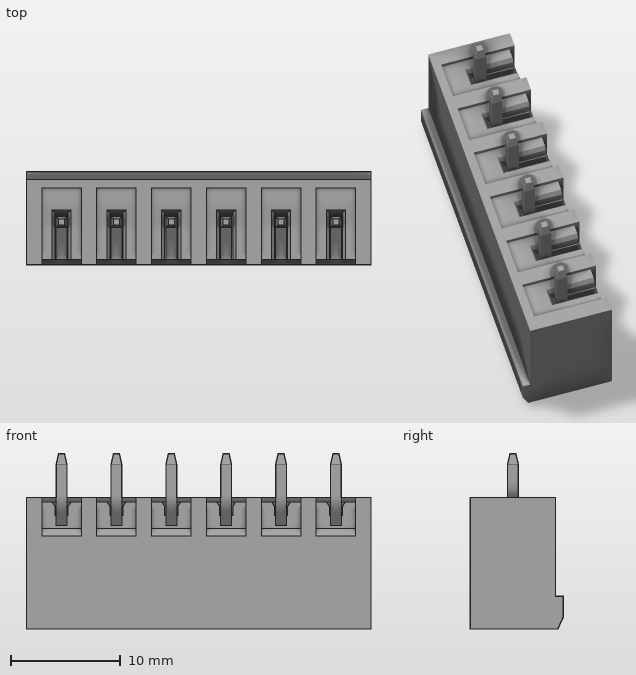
import cadquery as cq

pin_count = 6
pitch = 5.0
end_margin = 3.2
housing_length = (pin_count - 1) * pitch + 2 * end_margin
housing_depth = 7.8
housing_height = 12.0

rail_projection = 0.7
rail_height = 3.0
rail_lead_in_depth = 0.5
rail_lead_in_height = 1.1

pocket_width = 3.6
pocket_length = 7.0
pocket_depth = 0.4
pocket_floor_z = housing_height - pocket_depth
recess_depth = 0.5
recess_inner_z = 9.15
recess_outer_z = 8.5

pin_width = 1.0
pin_y = 3.9
pin_top_z = 16.0
pin_taper_length = 1.0
pin_tip_width = 0.55

slit_floor_z = 9.45
slit_ledge_z = 10.35
slit_mouth_width = 1.75
slit_neck_width = 1.2
slit_chamfer_depth = 0.4
slit_mouth_back_y = 5.0
slit_neck_back_y = 4.5
slit_back_slope_depth = 1.0
pin_back_y = pin_y + pin_width / 2


def make_housing():
    """Block with the latch rail along its lower rear edge."""
    rail_back_y = housing_depth + rail_projection
    return (
        cq.Workplane("YZ")
        .moveTo(0, 0)
        .lineTo(rail_back_y - rail_lead_in_depth, 0)
        .lineTo(rail_back_y, rail_lead_in_height)
        .lineTo(rail_back_y, rail_height)
        .lineTo(housing_depth, rail_height)
        .lineTo(housing_depth, housing_height)
        .lineTo(0, housing_height)
        .close()
        .extrude(housing_length / 2, both=True)
    )


def make_pocket(x):
    """Pocket with the front recess and its sloping sill, centred on x."""
    return (
        cq.Workplane("YZ", origin=(x, 0, 0))
        .moveTo(0, recess_outer_z)
        .lineTo(recess_depth, recess_inner_z)
        .lineTo(recess_depth, pocket_floor_z)
        .lineTo(pocket_length, pocket_floor_z)
        .lineTo(pocket_length, housing_height)
        .lineTo(0, housing_height)
        .close()
        .extrude(pocket_width / 2, both=True)
    )


def make_slit_upper(x):
    """Upper part of the slit: chamfered along both sides, sloping at the back, open at the front."""
    neck_z = pocket_floor_z - slit_chamfer_depth
    cross_profile = (
        cq.Workplane("XZ", origin=(x, 0, 0))
        .moveTo(-slit_neck_width / 2, slit_ledge_z)
        .lineTo(-slit_neck_width / 2, neck_z)
        .lineTo(-slit_mouth_width / 2, pocket_floor_z)
        .lineTo(slit_mouth_width / 2, pocket_floor_z)
        .lineTo(slit_neck_width / 2, neck_z)
        .lineTo(slit_neck_width / 2, slit_ledge_z)
        .close()
        .extrude(-slit_mouth_back_y)
    )
    side_profile = (
        cq.Workplane("YZ", origin=(x, 0, 0))
        .moveTo(0, slit_ledge_z)
        .lineTo(0, pocket_floor_z)
        .lineTo(slit_mouth_back_y, pocket_floor_z)
        .lineTo(slit_neck_back_y, pocket_floor_z - slit_back_slope_depth)
        .lineTo(slit_neck_back_y, slit_ledge_z)
        .close()
        .extrude(slit_mouth_width / 2, both=True)
    )
    return cross_profile.intersect(side_profile)


def make_slit_channel(x):
    """Channel below the ledge, running from the front recess to the back of the pin."""
    channel_length = pin_back_y - recess_depth
    channel_y = (pin_back_y + recess_depth) / 2
    return (
        cq.Workplane("XY", origin=(x, channel_y, slit_floor_z))
        .rect(pin_width, channel_length)
        .extrude(slit_ledge_z - slit_floor_z)
    )


def make_pin(x):
    """Square pin rising from the slit floor to a blunt pyramidal tip."""
    shank_length = pin_top_z - pin_taper_length - slit_floor_z
    return (
        cq.Workplane("XY", origin=(x, pin_y, slit_floor_z))
        .rect(pin_width, pin_width)
        .extrude(shank_length)
        .faces(">Z")
        .workplane()
        .rect(pin_width, pin_width)
        .workplane(offset=pin_taper_length)
        .rect(pin_tip_width, pin_tip_width)
        .loft(ruled=True)
    )


result = make_housing()
for index in range(pin_count):
    pin_x = (index - (pin_count - 1) / 2) * pitch
    result = result.cut(make_pocket(pin_x))
    result = result.cut(make_slit_upper(pin_x))
    result = result.cut(make_slit_channel(pin_x))
    result = result.union(make_pin(pin_x))